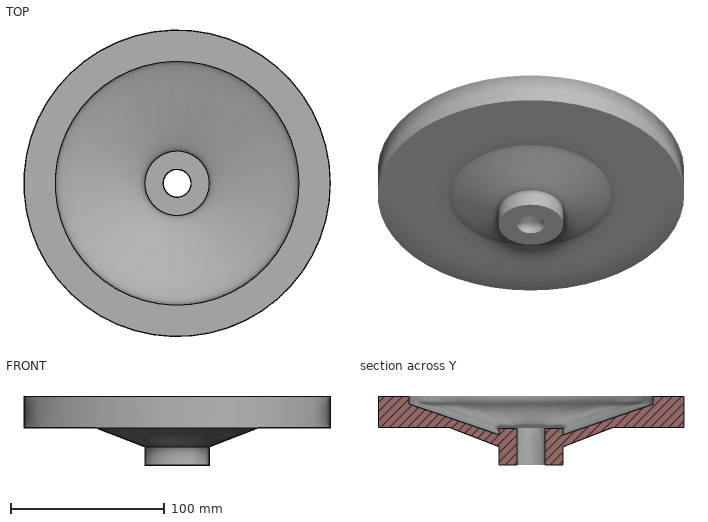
import cadquery as cq

outer_diameter = 200.0
total_height = 45.0

rim_height = 20.5
rim_inner_diameter = 159.0

hub_diameter = 42.0
bore_diameter = 18.0
hub_recess = 21.0

web_lower_diameter = 106.0
hub_exposed_below = 12.0
rim_wall_depth = 5.0
hub_exposed_above = 4.0

outer_radius = outer_diameter / 2
rim_inner_radius = rim_inner_diameter / 2
hub_radius = hub_diameter / 2
bore_radius = bore_diameter / 2
web_lower_radius = web_lower_diameter / 2
rim_bottom = total_height - rim_height
hub_top = total_height - hub_recess

half_section = (
    cq.Workplane("XZ")
    .moveTo(bore_radius, 0)
    .lineTo(hub_radius, 0)
    .lineTo(hub_radius, hub_exposed_below)
    .lineTo(web_lower_radius, rim_bottom)
    .lineTo(outer_radius, rim_bottom)
    .lineTo(outer_radius, total_height)
    .lineTo(rim_inner_radius, total_height)
    .lineTo(rim_inner_radius, total_height - rim_wall_depth)
    .lineTo(hub_radius, hub_top - hub_exposed_above)
    .lineTo(hub_radius, hub_top)
    .lineTo(bore_radius, hub_top)
    .close()
)

result = half_section.revolve(360, (0, 0, 0), (0, 1, 0))